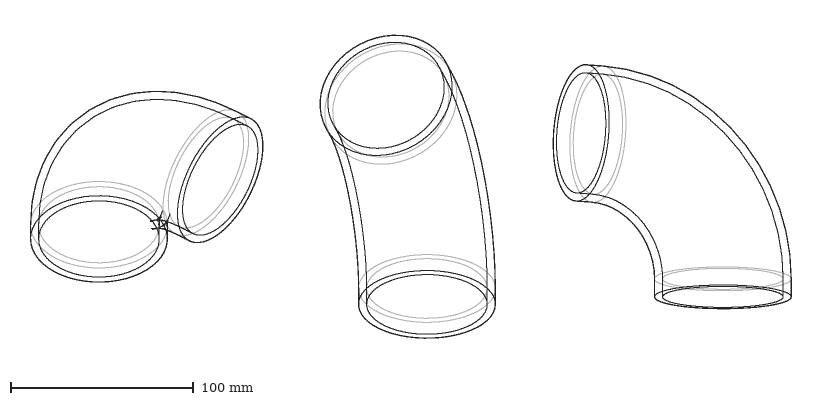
import cadquery as cq

overall_length = 122.5
outer_diameter = 75.0
bore_diameter = 66.0

bend_radius = outer_diameter
bend_angle = 90
collar_length = overall_length - bend_radius - outer_diameter / 2


def elbow(diameter):
    """Solid round elbow running up along Z, then turning toward +X."""
    lower_collar = cq.Workplane("XY").circle(diameter / 2).extrude(collar_length)
    bend = (
        cq.Workplane("XY", origin=(0, 0, collar_length))
        .circle(diameter / 2)
        .revolve(bend_angle, (bend_radius, 0, 0), (bend_radius, 1, 0))
    )
    upper_collar = (
        cq.Workplane("YZ", origin=(bend_radius, 0, collar_length + bend_radius))
        .circle(diameter / 2)
        .extrude(collar_length)
    )
    return lower_collar.union(bend).union(upper_collar)


result = elbow(outer_diameter).cut(elbow(bore_diameter))